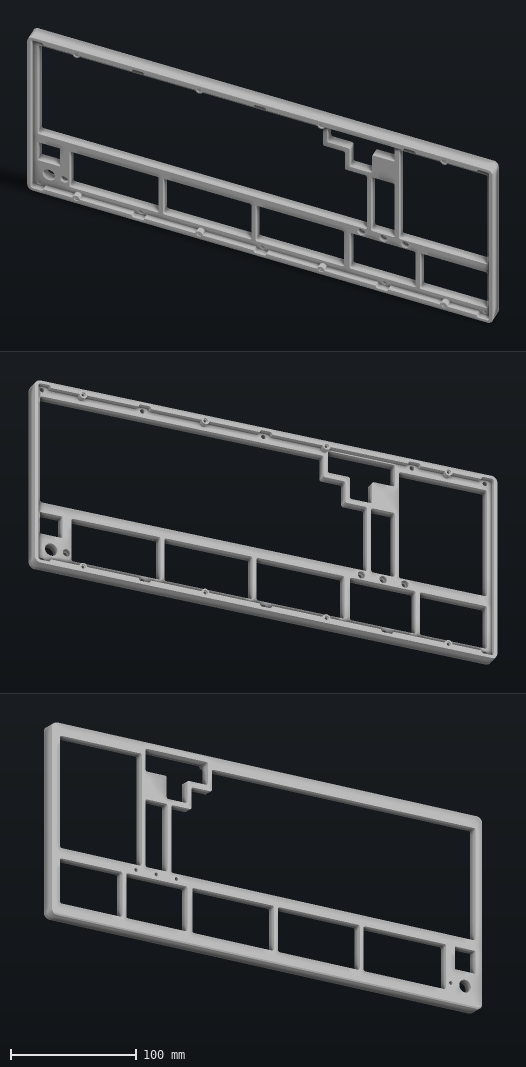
import cadquery as cq
import math

LENGTH = 405.0
DEPTH = 13.5
HEIGHT = 165.0
CORNER_RADIUS = 5.0
BACK_CHAMFER = 1.0
FRONT_BEVEL_WIDTH = 1.0
FRONT_BEVEL_DEPTH = 0.1
FRONT_Y = -DEPTH / 2

RECESS_DEPTH = 5.3
SIDE_RIM = 3.05
RAIL_RIM = 5.0
RECESS_RADIUS = 1.5
FLOOR_Y = FRONT_Y + RECESS_DEPTH
PLATE_THICKNESS = DEPTH - RECESS_DEPTH
RAIL_WALL_Z = HEIGHT / 2 - RAIL_RIM

WINDOW_RADIUS = 1.5
PITCH = 19.0
WINDOW_RIGHT = 195.5
WINDOW_LEFT = -WINDOW_RIGHT
UPPER_TOP = 71.3
UPPER_BOTTOM = -24.7
LOWER_TOP = -33.5
LOWER_BOTTOM = -72.0
STAIR_X = 52.5
STAIR_Z = 52.2
NOTCH_X = 56.3
NOTCH_TOP = 76.5
NOTCH_SHELF_Z = 57.0
KEY_OPENING = 19.5
COLUMN_LEFT = 94.5
COLUMN_RIGHT = 115.0
RIGHT_WINDOW_LEFT = 118.5
LOWER_SPANS = [(-168.0, -90.5), (-86.5, -9.7), (-6.0, 71.0), (75.7, 133.2), (137.0, WINDOW_RIGHT)]

MIDDLE_STATION = 106.0
TOP_RIGHT_STATION = 130.0
POCKET_HALF_WIDTH = 5.45
POCKET_TOP_Z = 79.8
POCKET_RADIUS = 2.0
END_STATION = LENGTH / 2 - SIDE_RIM - POCKET_HALF_WIDTH
SCREW_Z = 77.0
SCREW_HOLE = 3.95
SCREW_HOLE_DEPTH = 6.0

BOSS_STATIONS = [-160.0, -53.0, 53.0, 160.0]
BOSS_Z = 77.8
BOSS_DIAMETER = 6.5
BOSS_BORE = 3.95
BOSS_BORE_DEPTH = 1.2
BOSS_HOLE = 2.5
BOSS_HOLE_DEPTH = 6.0

ROUND_OPENING = 11.0
ROUND_OPENING_X = -186.0
CORNER_HOLES_Z = -65.5
CORNER_SCREW_X = -172.5
BAR_SCREW_X = 105.0
BAR_Z = (UPPER_BOTTOM + LOWER_TOP) / 2
SINK_DIAMETER = 6.5
SINK_DEPTH = 3.2
SINK_HOLE = 3.2


def plane_at(y):
    """Sketch plane at depth y: local axes are X and Z, and the normal points to -Y."""
    return cq.Workplane("XZ", origin=(0, y, 0))


def prism(points, y, depth, radius):
    """Closed outline extruded from y toward +Y, with its Y-direction edges rounded."""
    solid = plane_at(y).polyline(points).close().extrude(-depth)
    return solid.edges("|Y").fillet(radius) if radius else solid


def box_points(x0, x1, z0, z1):
    return [(x0, z0), (x1, z0), (x1, z1), (x0, z1)]


def block(x0, x1, z0, z1, y, depth, radius):
    return prism(box_points(x0, x1, z0, z1), y, depth, radius)


def cylinders(centers, diameter, y, depth):
    return plane_at(y).pushPoints(centers).circle(diameter / 2).extrude(-depth)


def make_frame():
    half_x = LENGTH / 2
    half_z = HEIGHT / 2
    body = block(-half_x, half_x, -half_z, half_z, FRONT_Y, DEPTH, CORNER_RADIUS)
    body = body.faces(">Y").edges().chamfer(BACK_CHAMFER)
    body = body.faces("<Y").edges().chamfer(FRONT_BEVEL_DEPTH, FRONT_BEVEL_WIDTH)
    wall_x = half_x - SIDE_RIM
    return body.cut(block(-wall_x, wall_x, -RAIL_WALL_Z, RAIL_WALL_Z, FRONT_Y, RECESS_DEPTH, RECESS_RADIUS))


def window(points, radius=WINDOW_RADIUS):
    return prism(points, FLOOR_Y, PLATE_THICKNESS, radius)


def make_windows():
    main_points = [
        (WINDOW_LEFT, UPPER_BOTTOM),
        (STAIR_X + 2 * PITCH, UPPER_BOTTOM),
        (STAIR_X + 2 * PITCH, STAIR_Z - PITCH),
        (STAIR_X + PITCH, STAIR_Z - PITCH),
        (STAIR_X + PITCH, STAIR_Z),
        (STAIR_X, STAIR_Z),
        (STAIR_X, UPPER_TOP),
        (WINDOW_LEFT, UPPER_TOP),
    ]
    notch_inner = NOTCH_X + KEY_OPENING
    notch_points = [
        (NOTCH_X, NOTCH_TOP),
        (NOTCH_X, NOTCH_SHELF_Z),
        (notch_inner, NOTCH_SHELF_Z),
        (notch_inner, NOTCH_SHELF_Z - KEY_OPENING),
        (notch_inner + KEY_OPENING, NOTCH_SHELF_Z - KEY_OPENING),
        (notch_inner + KEY_OPENING, NOTCH_SHELF_Z),
        (COLUMN_RIGHT, NOTCH_SHELF_Z),
        (COLUMN_RIGHT, NOTCH_TOP),
    ]
    windows = [
        window(main_points),
        window(notch_points),
        window(box_points(COLUMN_LEFT, COLUMN_RIGHT, UPPER_BOTTOM, STAIR_Z - PITCH)),
        window(box_points(RIGHT_WINDOW_LEFT, WINDOW_RIGHT, UPPER_BOTTOM, UPPER_TOP)),
        window(box_points(WINDOW_LEFT, WINDOW_LEFT + KEY_OPENING, LOWER_TOP - KEY_OPENING, LOWER_TOP), 0),
    ]
    for left, right in LOWER_SPANS:
        windows.append(window(box_points(left, right, LOWER_BOTTOM, LOWER_TOP)))
    return windows


def cut_screw_stations(body):
    shared = [-END_STATION, -MIDDLE_STATION, 0, END_STATION]
    top = [(x, SCREW_Z) for x in shared + [TOP_RIGHT_STATION]]
    bottom = [(x, -SCREW_Z) for x in shared + [MIDDLE_STATION]]
    pocket_base_z = RAIL_WALL_Z - 2 * POCKET_RADIUS
    for x, z in top + bottom:
        near, far = sorted(math.copysign(level, z) for level in (pocket_base_z, POCKET_TOP_Z))
        left = x - POCKET_HALF_WIDTH
        right = x + POCKET_HALF_WIDTH
        body = body.cut(block(left, right, near, far, FRONT_Y, RECESS_DEPTH, POCKET_RADIUS))
    return body.cut(cylinders(top + bottom, SCREW_HOLE, FLOOR_Y, SCREW_HOLE_DEPTH))


def add_bosses(body):
    stations = [(x, z) for x in BOSS_STATIONS for z in (BOSS_Z, -BOSS_Z)]
    body = body.union(cylinders(stations, BOSS_DIAMETER, FRONT_Y, RECESS_DEPTH))
    body = body.cut(cylinders(stations, BOSS_BORE, FRONT_Y, BOSS_BORE_DEPTH))
    return body.cut(cylinders(stations, BOSS_HOLE, FRONT_Y, BOSS_HOLE_DEPTH))


def cut_plate_holes(body):
    sinks = [(BAR_SCREW_X + n * PITCH, BAR_Z) for n in (-1, 0, 1)] + [(CORNER_SCREW_X, CORNER_HOLES_Z)]
    body = body.cut(cylinders([(ROUND_OPENING_X, CORNER_HOLES_Z)], ROUND_OPENING, FLOOR_Y, PLATE_THICKNESS))
    body = body.cut(cylinders(sinks, SINK_DIAMETER, FLOOR_Y, SINK_DEPTH))
    return body.cut(cylinders(sinks, SINK_HOLE, FLOOR_Y, PLATE_THICKNESS))


frame = make_frame()
for opening in make_windows():
    frame = frame.cut(opening)
frame = cut_screw_stations(frame)
frame = add_bosses(frame)
result = cut_plate_holes(frame)